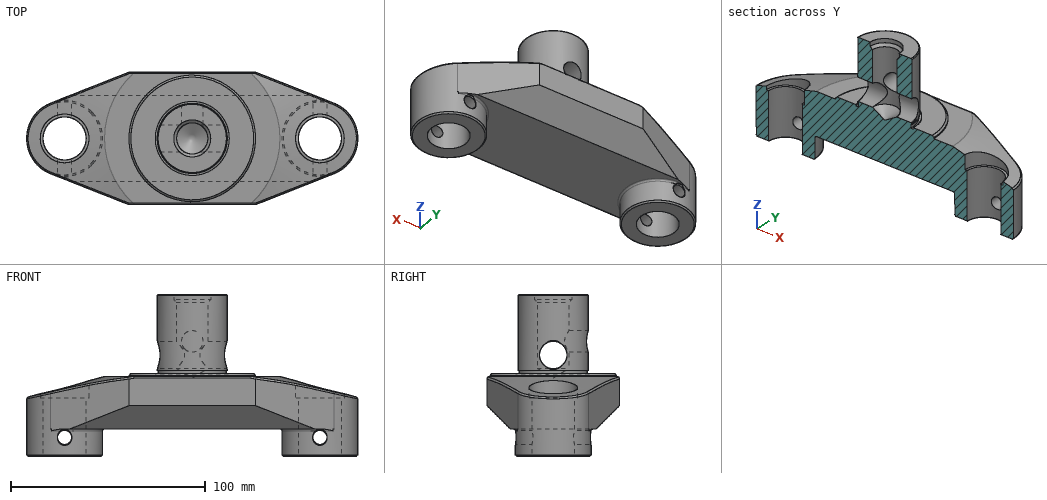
import cadquery as cq
import math

HEIGHT = 83.0
LUG_RADIUS = 19.5
LUG_SPACING = 131.0
LUG_X = LUG_SPACING / 2
LUG_EDGE_CHAMFER = 0.8

BRIDGE_WIDTH = 68.0
BRIDGE_FLAT_LENGTH = 65.0
BRIDGE_BOTTOM = 14.0
BRIDGE_TOP = 41.0
TOP_FLAT_RADIUS = 45.0
TOP_SLOPE = math.radians(15)
UNDERSIDE_CHAMFER = 12.0
TOP_EDGE_CHAMFER = 0.8
LUG_FILLET = 1.0
COVE_RUNOUT = 0.4

LUG_BORE_DIAMETER = 22.0
LUG_COUNTERBORE_DIAMETER = 25.0
LUG_COUNTERBORE_FLOOR = 30.0
LUG_PIN_DIAMETER = 7.2
LUG_PIN_Z = 9.7

PAD_RADIUS = 32.5
PAD_TOP = 42.6
PAD_OVERLAP = 5.0
PAD_CHAMFER = 1.0
POST_DIAMETER = 36.0
POST_TOP_CHAMFER = 0.5
NECK_DIAMETER = 35.0
NECK_TOP = 44.0
GROOVE_DIAMETER = 38.0
GROOVE_DEPTH = 0.8

POST_BORE_DIAMETER = 16.0
POST_COUNTERBORE_DIAMETER = 19.0
POST_COUNTERBORE_DEPTH = 2.5
POST_BORE_FLOOR = 45.0
DRILL_POINT_HALF_ANGLE = math.radians(59)
CROSS_HOLE_DIAMETER = 14.0
CROSS_HOLE_Z = 52.0
SIDE_HOLE_DIAMETER = 11.0
SIDE_HOLE_Z = 59.0
MOUTH_CHAMFER = 0.5
MOUTH_OVERSHOOT = 0.2


def cylinder(diameter, bottom, top, x=0.0):
    """Vertical cylinder between two heights."""
    return cq.Workplane("XY", origin=(x, 0, bottom)).circle(diameter / 2).extrude(top - bottom)


def cone(bottom_diameter, top_diameter, bottom, top):
    """Vertical truncated cone on the Z axis; a zero bottom diameter gives a point."""
    solid = cq.Solid.makeCone(bottom_diameter / 2, top_diameter / 2, top - bottom, cq.Vector(0, 0, bottom))
    return cq.Workplane(solid)


def cross_cylinder(diameter, start, direction, length):
    """Cylinder from a start point along a direction."""
    solid = cq.Solid.makeCylinder(diameter / 2, length, cq.Vector(*start), cq.Vector(*direction))
    return cq.Workplane(solid)


def mouth_countersink(hole_diameter, mouth, direction):
    """45 degree countersink for a cross hole; mouth is its point on the surface, direction points outward."""
    outward = cq.Vector(*direction)
    start = cq.Vector(*mouth) - outward * MOUTH_CHAMFER
    depth = MOUTH_CHAMFER + MOUTH_OVERSHOOT
    hole_radius = hole_diameter / 2
    return cq.Workplane(cq.Solid.makeCone(hole_radius, hole_radius + depth, depth, start, outward))


def flank_tangent_point():
    """Point, in the +X +Y quarter, where a sloping flank meets a lug arc tangentially."""
    to_corner_x = BRIDGE_FLAT_LENGTH / 2 - LUG_X
    to_corner_y = BRIDGE_WIDTH / 2
    corner_angle = math.atan2(to_corner_y, to_corner_x)
    tangent_angle = corner_angle - math.acos(LUG_RADIUS / math.hypot(to_corner_x, to_corner_y))
    return LUG_X + LUG_RADIUS * math.cos(tangent_angle), LUG_RADIUS * math.sin(tangent_angle)


TANGENT_X, TANGENT_Y = flank_tangent_point()


def outline_prism():
    """Plan outline: straight flanks on the middle, then tangent lines onto the lug arcs."""
    corner_x = BRIDGE_FLAT_LENGTH / 2
    corner_y = BRIDGE_WIDTH / 2
    end_x = LUG_X + LUG_RADIUS
    return (
        cq.Workplane("XY")
        .moveTo(-corner_x, corner_y)
        .lineTo(corner_x, corner_y)
        .lineTo(TANGENT_X, TANGENT_Y)
        .threePointArc((end_x, 0), (TANGENT_X, -TANGENT_Y))
        .lineTo(corner_x, -corner_y)
        .lineTo(-corner_x, -corner_y)
        .lineTo(-TANGENT_X, -TANGENT_Y)
        .threePointArc((-end_x, 0), (-TANGENT_X, TANGENT_Y))
        .close()
        .extrude(HEIGHT)
    )


def space_between_lugs():
    """Everything below the bridge except the two round lugs."""
    inner_x = LUG_X - LUG_RADIUS
    clear_y = BRIDGE_WIDTH
    return (
        cq.Workplane("XY")
        .moveTo(TANGENT_X, TANGENT_Y)
        .lineTo(TANGENT_X, clear_y)
        .lineTo(-TANGENT_X, clear_y)
        .lineTo(-TANGENT_X, TANGENT_Y)
        .threePointArc((-inner_x, 0), (-TANGENT_X, -TANGENT_Y))
        .lineTo(-TANGENT_X, -clear_y)
        .lineTo(TANGENT_X, -clear_y)
        .lineTo(TANGENT_X, -TANGENT_Y)
        .threePointArc((inner_x, 0), (TANGENT_X, TANGENT_Y))
        .close()
        .extrude(BRIDGE_BOTTOM)
    )


def top_envelope():
    """Body of revolution whose top is flat in the middle and falls away conically."""
    outer_radius = LUG_X + 2 * LUG_RADIUS
    outer_z = BRIDGE_TOP - (outer_radius - TOP_FLAT_RADIUS) * math.tan(TOP_SLOPE)
    return (
        cq.Workplane("XZ")
        .polyline([
            (0, 0),
            (outer_radius, 0),
            (outer_radius, outer_z),
            (TOP_FLAT_RADIUS, BRIDGE_TOP),
            (0, BRIDGE_TOP),
        ])
        .close()
        .revolve(360, (0, 0), (0, 1))
    )


def underside_wedge(side):
    """45 degree cut along the lower edge of one flank; side is +1 or -1 along Y."""
    inner_y = BRIDGE_WIDTH / 2 - UNDERSIDE_CHAMFER
    outer_y = inner_y + 2 * UNDERSIDE_CHAMFER
    length = 2 * (LUG_X + LUG_RADIUS)
    return (
        cq.Workplane("YZ")
        .polyline([
            (side * inner_y, BRIDGE_BOTTOM),
            (side * outer_y, BRIDGE_BOTTOM),
            (side * outer_y, BRIDGE_BOTTOM + 2 * UNDERSIDE_CHAMFER),
        ])
        .close()
        .extrude(length / 2, both=True)
    )


def lug_cove(x):
    """Concave fillet between a lug and the bridge underside, fading out at the flank tangent."""
    flare_radius = LUG_RADIUS + LUG_FILLET
    start_z = BRIDGE_BOTTOM - LUG_FILLET
    embedded_radius = LUG_RADIUS - LUG_FILLET
    embedded_z = BRIDGE_BOTTOM + LUG_FILLET
    mid_offset = LUG_FILLET * math.sqrt(0.5)
    ring = (
        cq.Workplane("XZ", origin=(x, 0, 0))
        .moveTo(embedded_radius, start_z)
        .lineTo(LUG_RADIUS, start_z)
        .threePointArc((flare_radius - mid_offset, start_z + mid_offset), (flare_radius, BRIDGE_BOTTOM))
        .lineTo(flare_radius, embedded_z)
        .lineTo(embedded_radius, embedded_z)
        .close()
        .revolve(360, (0, 0), (0, 1))
    )
    inboard = cq.Workplane("XY").box(2 * (TANGENT_X - COVE_RUNOUT), BRIDGE_WIDTH, HEIGHT)
    return ring.intersect(outline_prism()).intersect(inboard)


def body():
    """Bridge and lugs in one piece, with chamfered top and bottom rims."""
    block = outline_prism().cut(space_between_lugs()).intersect(top_envelope())
    above_bridge_bottom = cq.selectors.BoxSelector(
        (-LUG_SPACING, -BRIDGE_WIDTH, BRIDGE_BOTTOM + UNDERSIDE_CHAMFER), (LUG_SPACING, BRIDGE_WIDTH, HEIGHT)
    )
    block = block.edges(above_bridge_bottom).edges("not(|Z or %CIRCLE)").chamfer(TOP_EDGE_CHAMFER)
    for side in (-1, 1):
        block = block.cut(underside_wedge(side))
    block = block.faces("<Z").edges().chamfer(LUG_EDGE_CHAMFER)
    for x in (-LUG_X, LUG_X):
        block = block.union(lug_cove(x))
    return block


def lug_holes(x):
    """Stepped vertical bore and the pin hole crossing it along Y, countersunk at both ends."""
    bore = cylinder(LUG_BORE_DIAMETER, 0, HEIGHT, x)
    counterbore = cylinder(LUG_COUNTERBORE_DIAMETER, LUG_COUNTERBORE_FLOOR, HEIGHT, x)
    pin_hole = cross_cylinder(LUG_PIN_DIAMETER, (x, -BRIDGE_WIDTH, LUG_PIN_Z), (0, 1, 0), 2 * BRIDGE_WIDTH)
    countersinks = [
        mouth_countersink(LUG_PIN_DIAMETER, (x, side * LUG_RADIUS, LUG_PIN_Z), (0, side, 0))
        for side in (-1, 1)
    ]
    return [bore.union(counterbore), pin_hole] + countersinks


def pad():
    """Round pad with a ring groove around the foot of the post."""
    disc = cylinder(2 * PAD_RADIUS, BRIDGE_TOP - PAD_OVERLAP, PAD_TOP).faces(">Z").chamfer(PAD_CHAMFER)
    return disc.cut(cylinder(GROOVE_DIAMETER, PAD_TOP - GROOVE_DEPTH, PAD_TOP))


def post():
    """Upright post on a slightly narrower neck."""
    neck = cylinder(NECK_DIAMETER, BRIDGE_TOP - PAD_OVERLAP, NECK_TOP)
    shank = cylinder(POST_DIAMETER, NECK_TOP, HEIGHT).faces(">Z").chamfer(POST_TOP_CHAMFER)
    return neck.union(shank)


def post_holes():
    """Stepped blind bore with a drill point, a hole through along X and one into the bore from +Y."""
    point_depth = POST_BORE_DIAMETER / 2 / math.tan(DRILL_POINT_HALF_ANGLE)
    step_depth = (POST_COUNTERBORE_DIAMETER - POST_BORE_DIAMETER) / 2
    step_top = HEIGHT - POST_COUNTERBORE_DEPTH
    point = cone(0.0, POST_BORE_DIAMETER, POST_BORE_FLOOR - point_depth, POST_BORE_FLOOR)
    bore = cylinder(POST_BORE_DIAMETER, POST_BORE_FLOOR, HEIGHT)
    step = cone(POST_BORE_DIAMETER, POST_COUNTERBORE_DIAMETER, step_top - step_depth, step_top)
    counterbore = cylinder(POST_COUNTERBORE_DIAMETER, step_top, HEIGHT)
    through = cross_cylinder(
        CROSS_HOLE_DIAMETER, (-POST_DIAMETER, 0, CROSS_HOLE_Z), (1, 0, 0), 2 * POST_DIAMETER
    )
    side = cross_cylinder(SIDE_HOLE_DIAMETER, (0, 0, SIDE_HOLE_Z), (0, 1, 0), POST_DIAMETER)
    countersinks = [
        mouth_countersink(CROSS_HOLE_DIAMETER, (end * POST_DIAMETER / 2, 0, CROSS_HOLE_Z), (end, 0, 0))
        for end in (-1, 1)
    ]
    return [through, side, bore.union(point).union(step).union(counterbore)] + countersinks


result = body().union(pad()).union(post())
for hole in lug_holes(-LUG_X) + lug_holes(LUG_X) + post_holes():
    result = result.cut(hole)